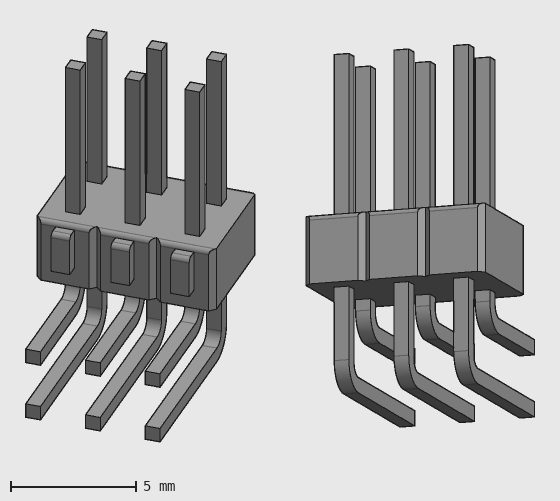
import cadquery as cq
import math

columns = 3
pitch = 2.54
column_places = [(column - (columns - 1) / 2) * pitch for column in range(columns)]

body_length = columns * pitch
body_depth = 5.0
body_height = 2.81
body_bottom = 4.14
body_top = body_bottom + body_height
body_front = -body_depth / 2
top_round = 0.2
notch_depth = 0.25

nub_width = 0.79
nub_reach = 0.55
nub_clearance = 0.85
nub_top = body_top - top_round
nub_bottom = body_bottom + nub_clearance
nub_height = nub_top - nub_bottom
nub_round = 0.2

pin_size = 0.63
pin_top = 13.65
tail_reach = 3.75
tail_end = body_front - tail_reach
inner_bend_radius = 0.5
outer_bend_radius = inner_bend_radius + pin_size
pin_rows = [(-pitch / 2, pitch), (pitch / 2, 0)]


def make_body():
    """Block with rounded top long edges and V notches at every column boundary and end."""
    block = (
        cq.Workplane("XY")
        .box(body_length, body_depth, body_height, centered=(True, True, False))
        .translate((0, 0, body_bottom))
        .edges("|X and >Z")
        .fillet(top_round)
    )
    notch_side = notch_depth * math.sqrt(2)
    for boundary in range(columns + 1):
        x = boundary * pitch - body_length / 2
        for y in (-body_depth / 2, body_depth / 2):
            notch = (
                cq.Workplane("XY", origin=(x, y, body_bottom))
                .transformed(rotate=(0, 0, 45))
                .rect(notch_side, notch_side)
                .extrude(body_height)
            )
            block = block.cut(notch)
    return block


def make_nub(x):
    """Small standoff on the front face with a rounded upper outer edge."""
    return (
        cq.Workplane("XY")
        .box(nub_width, nub_reach, nub_height, centered=(True, False, False))
        .edges("|X and >Z and <Y")
        .fillet(nub_round)
        .translate((x, body_front - nub_reach, nub_bottom))
    )


def make_pin(x, leg_y, tail_bottom):
    """Square pin with an upright leg bent forward into a horizontal tail."""
    leg_back = leg_y + pin_size / 2
    leg_front = leg_y - pin_size / 2
    tail_top = tail_bottom + pin_size
    pin = (
        cq.Workplane("YZ")
        .moveTo(leg_back, pin_top)
        .lineTo(leg_back, tail_bottom + outer_bend_radius)
        .radiusArc((leg_back - outer_bend_radius, tail_bottom), outer_bend_radius)
        .lineTo(tail_end, tail_bottom)
        .lineTo(tail_end, tail_top)
        .lineTo(leg_front - inner_bend_radius, tail_top)
        .radiusArc((leg_front, tail_top + inner_bend_radius), -inner_bend_radius)
        .lineTo(leg_front, pin_top)
        .close()
        .extrude(pin_size / 2, both=True)
    )
    return pin.translate((x, 0, 0))


result = make_body()
for column_x in column_places:
    result = result.union(make_nub(column_x))
    for row_y, row_tail_bottom in pin_rows:
        result = result.union(make_pin(column_x, row_y, row_tail_bottom))